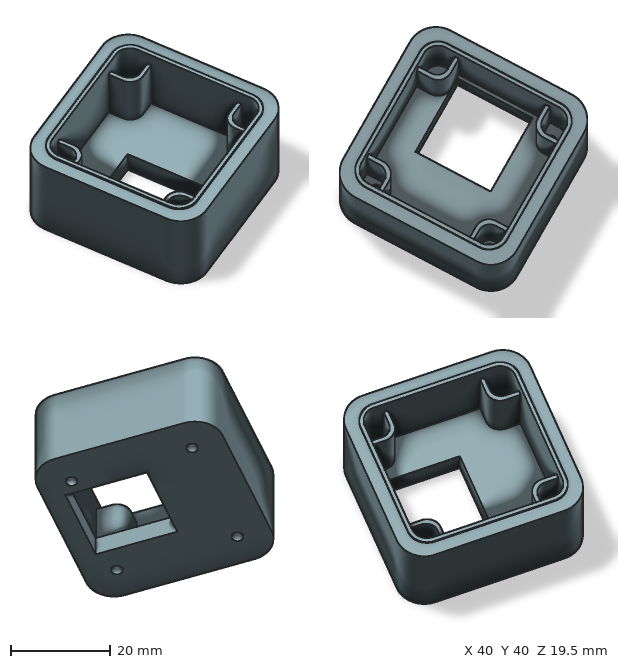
import cadquery as cq

body_side = 40.0
body_corner_radius = 6.0
total_height = 19.5
lip_height = 0.4
floor_thickness = 4.8

shoulder_width = 2.8
lip_corner_radius = 4.15
lip_side = body_side - 2 * shoulder_width
cavity_side = 32.6
cavity_corner_radius = lip_corner_radius - (lip_side - cavity_side) / 2
shoulder_height = total_height - lip_height

screw_offset = 13.0
screw_diameter = 2.4
corner_wall_reach = 3.0
corner_wall_thickness = 0.9
corner_wall_outer_radius = 3.0
corner_wall_inner_radius = 2.5
corner_wall_top = 16.4

window_size_x = 17.3
window_size_y = 17.6
window_center_x = 1.25
window_center_y = -6.7


def rounded_prism(side, radius, bottom, top):
    """Square prism on the centre axis with rounded vertical edges."""
    prism = cq.Workplane("XY").workplane(offset=bottom).rect(side, side).extrude(top - bottom)
    return prism.edges("|Z").fillet(radius)


def corner_block(reach, radius):
    """Block over the +X +Y screw, rounded on the vertical edge nearest the centre."""
    inner_face = screw_offset - reach
    size = body_side / 2 - inner_face
    block = (
        cq.Workplane("XY")
        .workplane(offset=floor_thickness)
        .center(inner_face, inner_face)
        .rect(size, size, centered=False)
        .extrude(corner_wall_top - floor_thickness)
    )
    return block.edges("|Z and <X and <Y").fillet(radius)


cavity = rounded_prism(cavity_side, cavity_corner_radius, floor_thickness, total_height)
body = rounded_prism(body_side, body_corner_radius, 0, shoulder_height)
lip = rounded_prism(lip_side, lip_corner_radius, floor_thickness, total_height)
result = body.union(lip).cut(cavity)

outer_block = corner_block(corner_wall_reach, corner_wall_outer_radius)
inner_block = corner_block(corner_wall_reach - corner_wall_thickness, corner_wall_inner_radius)
corner_wall = outer_block.cut(inner_block).intersect(cavity)
for quarter_turn in range(4):
    result = result.union(corner_wall.rotate((0, 0, 0), (0, 0, 1), 90 * quarter_turn))

screw_holes = (
    cq.Workplane("XY")
    .rect(2 * screw_offset, 2 * screw_offset, forConstruction=True)
    .vertices()
    .circle(screw_diameter / 2)
    .extrude(floor_thickness)
)
result = result.cut(screw_holes)

window = (
    cq.Workplane("XY")
    .center(window_center_x, window_center_y)
    .rect(window_size_x, window_size_y)
    .extrude(floor_thickness)
)
result = result.cut(window)